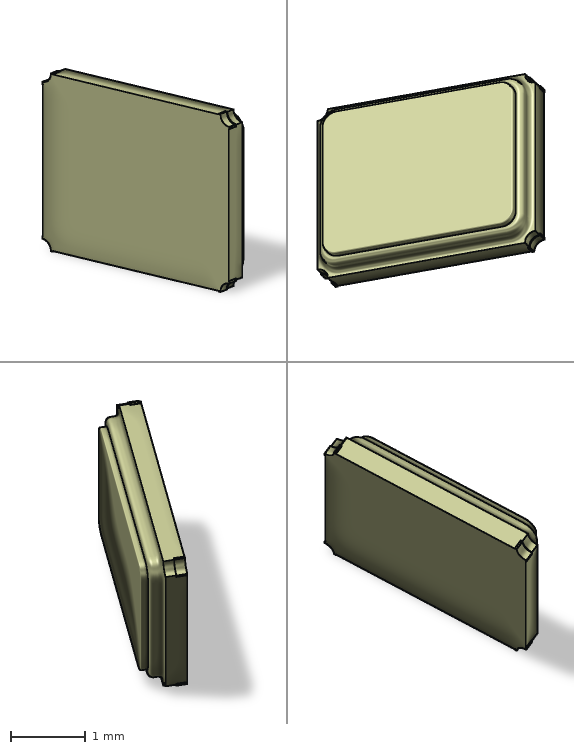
import cadquery as cq

OVERALL_X = 3.22
OVERALL_Z = 2.52
PLATING = 0.01

BODY_X = OVERALL_X - 2 * PLATING
BODY_Z = OVERALL_Z - 2 * PLATING
BODY_THICKNESS = 0.3
NOTCH_RADIUS = 0.15

PLATING_HEIGHT = 0.15
PLATING_REACH = 0.175

RING_INSET = 0.1
RING_THICKNESS = 0.2
RING_CORNER = 0.25
RING_ROUND = 0.075

LID_INSET = 0.2
LID_THICKNESS = 0.1
LID_CORNER = 0.2
LID_ROUND = 0.02



def rectangle_corners(size_x, size_z):
    """Corner points (x, z) of a centred rectangle."""
    return [(sx * size_x / 2, sz * size_z / 2) for sx in (-1, 1) for sz in (-1, 1)]


BODY_CORNERS = rectangle_corners(BODY_X, BODY_Z)
OVERALL_CORNERS = rectangle_corners(OVERALL_X, OVERALL_Z)


def plate(size_x, size_z, start_y, thickness):
    """Rectangular plate centred on the Y axis, from start_y towards +Y."""
    return (
        cq.Workplane("XZ", origin=(0, start_y, 0))
        .rect(size_x, size_z)
        .extrude(-thickness)
    )


def corner_cylinders(corners, height):
    """Notch cutters: cylinders along Y centred on the given corners."""
    return cq.Workplane("XZ").pushPoints(corners).circle(NOTCH_RADIUS).extrude(-height)


def corner_blocks(half_side, height):
    """Square blocks along Y centred on the body corners."""
    side = 2 * half_side
    return cq.Workplane("XZ").pushPoints(BODY_CORNERS).rect(side, side).extrude(-height)


def make_body():
    """Ceramic base with notched corners."""
    body = plate(BODY_X, BODY_Z, 0, BODY_THICKNESS)
    return body.cut(corner_cylinders(BODY_CORNERS, BODY_THICKNESS))


def make_plating():
    """Thin metal skin lining the notches and wrapping onto the sides."""
    skin = plate(OVERALL_X, OVERALL_Z, 0, PLATING_HEIGHT)
    skin = skin.intersect(corner_blocks(PLATING_REACH, PLATING_HEIGHT))
    return skin.cut(corner_cylinders(OVERALL_CORNERS, PLATING_HEIGHT))


def make_ring():
    """Seal ring with a rounded top edge and a concave flared foot."""
    wall_x = BODY_X - 2 * RING_INSET
    wall_z = BODY_Z - 2 * RING_INSET
    ring = plate(wall_x, wall_z, BODY_THICKNESS, RING_THICKNESS)
    ring = ring.edges("|Y").fillet(RING_CORNER)
    ring = ring.faces(">Y").edges().fillet(RING_ROUND)

    base = plate(BODY_X, BODY_Z, 0, BODY_THICKNESS)
    flared = base.union(ring)
    margin = 0.003
    wall_foot = cq.selectors.BoxSelector(
        (-wall_x / 2 - margin, BODY_THICKNESS - margin, -wall_z / 2 - margin),
        (wall_x / 2 + margin, BODY_THICKNESS + margin, wall_z / 2 + margin),
    )
    flared = flared.edges(wall_foot).fillet(RING_ROUND)
    return flared.cut(base)


def make_lid():
    """Thin lid with rounded corners and a softened top edge."""
    lid = plate(
        BODY_X - 2 * LID_INSET,
        BODY_Z - 2 * LID_INSET,
        BODY_THICKNESS + RING_THICKNESS,
        LID_THICKNESS,
    )
    lid = lid.edges("|Y").fillet(LID_CORNER)
    return lid.faces(">Y").edges().fillet(LID_ROUND)


result = make_body().union(make_plating()).union(make_ring()).union(make_lid())